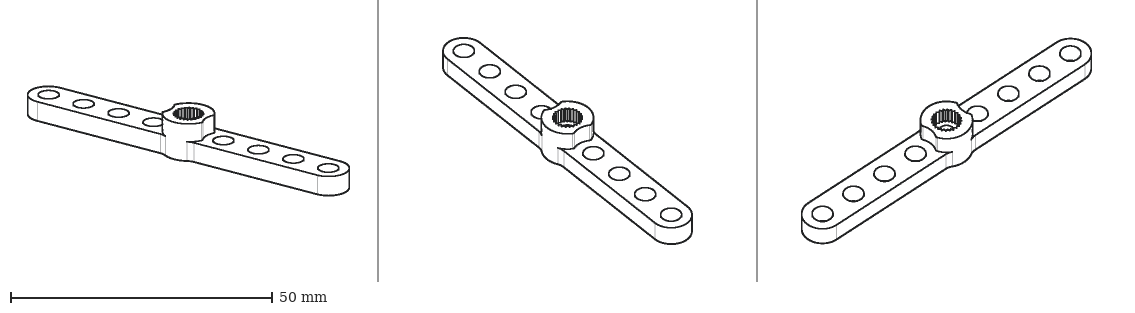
import cadquery as cq
import math

bar_length = 72.0
bar_width = 8.0
bar_height = 4.0
hole_pitch = bar_width
holes_per_arm = 4
bar_hole_diameter = 4.0

hub_diameter = 10.0
hub_height = 7.8
hub_waist = bar_width
scoop_radius = hole_pitch - hub_waist / 2
scoop_edge_radius = 0.5
web_radius = 2.9

spline_teeth = 24
spline_tip_diameter = 5.75
spline_root_diameter = 5.05
spline_depth = 3.0
screw_hole_diameter = 3.0


def make_bar():
    """Round-ended bar lying on the XY plane."""
    return cq.Workplane("XY").slot2D(bar_length, bar_width).extrude(bar_height)


def make_webs():
    """Concave blends, tangent to both the hub wall and the sides of the bar."""
    hub_radius = hub_diameter / 2
    center_y = bar_width / 2 + web_radius
    center_x = math.sqrt((hub_radius + web_radius) ** 2 - center_y**2)
    hub_share = hub_radius / (hub_radius + web_radius)
    tangent_x = center_x * hub_share
    tangent_y = center_y * hub_share
    webs = cq.Workplane("XY").rect(2 * center_x, 2 * tangent_y).extrude(bar_height)
    blend_centers = [(sx * center_x, sy * center_y) for sx in (-1, 1) for sy in (-1, 1)]
    blends = cq.Workplane("XY").pushPoints(blend_centers).circle(web_radius).extrude(bar_height)
    return webs.cut(blends)


def make_hub_top():
    """Upper hub: a cylinder scooped around the nearest hole of each arm, with rounded corners."""
    top_height = hub_height - bar_height
    top = cq.Workplane("XY").workplane(offset=bar_height).circle(hub_diameter / 2).extrude(top_height)
    scoops = (
        cq.Workplane("XY")
        .workplane(offset=bar_height)
        .pushPoints([(-hole_pitch, 0), (hole_pitch, 0)])
        .circle(scoop_radius)
        .extrude(top_height)
    )
    return top.cut(scoops).edges("|Z").fillet(scoop_edge_radius)


def make_spline_socket():
    """Toothed socket opening at the top of the hub."""
    points = []
    for i in range(2 * spline_teeth):
        radius = (spline_tip_diameter if i % 2 == 0 else spline_root_diameter) / 2
        angle = math.pi * i / spline_teeth
        points.append((radius * math.cos(angle), radius * math.sin(angle)))
    return (
        cq.Workplane("XY")
        .workplane(offset=hub_height - spline_depth)
        .polyline(points)
        .close()
        .extrude(spline_depth)
    )


def make_arm_holes():
    """Row of through holes along each arm."""
    centers = [(side * i * hole_pitch, 0) for side in (-1, 1) for i in range(1, holes_per_arm + 1)]
    return cq.Workplane("XY").pushPoints(centers).circle(bar_hole_diameter / 2).extrude(bar_height)


hub_base = cq.Workplane("XY").circle(hub_diameter / 2).extrude(bar_height)
screw_hole = cq.Workplane("XY").circle(screw_hole_diameter / 2).extrude(hub_height)

body = make_bar().union(hub_base).union(make_webs()).union(make_hub_top())
result = body.cut(make_arm_holes()).cut(make_spline_socket()).cut(screw_hole)